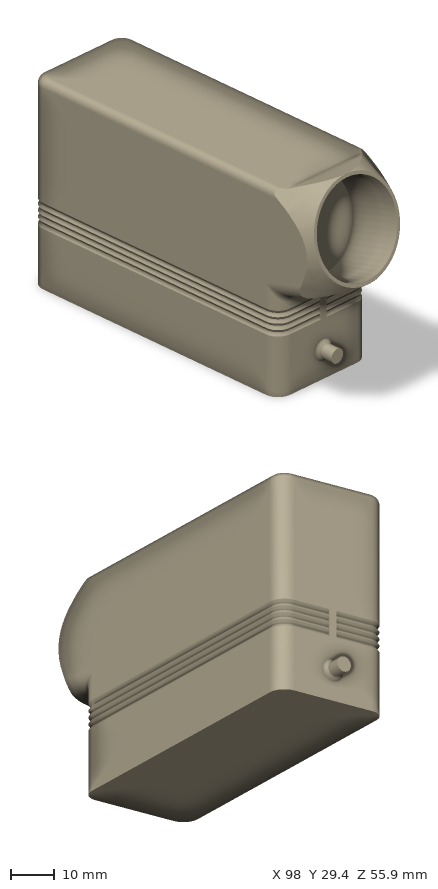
import cadquery as cq
import math

body_length = 79.4
body_width = 29.4
body_height = 54.0
corner_radius = 3.9
top_edge_radius = 2.0

entry_tilt = math.radians(15.0)
entry_reach = 53.9
entry_peak = 55.9
entry_diameter = 27.0
bore_diameter = 25.2
bore_depth = 14.7
inner_corner_radius = 2.0

cone_half_angle = math.radians(33.0)
cone_depth = 11.8

groove_count = 4
groove_pitch = 1.7
groove_depth = 0.6
groove_band_top = 22.3
groove_gap = 2.0

peg_height = 7.5
peg_length = 4.4
peg_diameter = 3.7
peg_flare = 0.9
peg_root_depth = 1.0

cut_margin = 1.0

half_length = body_length / 2
half_width = body_width / 2
entry_radius = entry_diameter / 2

underside_z = entry_peak - entry_diameter * math.cos(entry_tilt)
peak_x = entry_reach - entry_diameter * math.sin(entry_tilt)
inner_corner_z = underside_z - (entry_reach - half_length) * math.tan(entry_tilt)
top_bend_x = peak_x - (entry_peak - body_height) / math.tan(entry_tilt)

entry_plane = cq.Plane(
    origin=((entry_reach + peak_x) / 2, 0, (entry_peak + underside_z) / 2),
    xDir=(0, 1, 0),
    normal=(math.cos(entry_tilt), 0, math.sin(entry_tilt)),
)


def make_shell():
    """Side outline of body and entry, extruded over the width and rounded."""
    outline = [
        (-half_length, 0),
        (half_length, 0),
        (half_length, inner_corner_z),
        (entry_reach, underside_z),
        (peak_x, entry_peak),
        (top_bend_x, body_height),
        (-half_length, body_height),
    ]
    shell = cq.Workplane("XZ").polyline(outline).close().extrude(half_width, both=True)

    rounded_edges = cq.selectors.ParallelDirSelector(cq.Vector(0, 0, 1))
    middle_x = (half_length + entry_reach) / 2
    middle_z = (inner_corner_z + underside_z) / 2
    for side_y in (-half_width, half_width):
        lower_edge = cq.selectors.NearestToPointSelector((middle_x, side_y, middle_z))
        rounded_edges = rounded_edges + lower_edge
    shell = shell.edges(rounded_edges).fillet(corner_radius)

    inner_corner = cq.selectors.NearestToPointSelector((half_length, 0, inner_corner_z))
    shell = shell.edges(inner_corner).fillet(inner_corner_radius)

    sloping_top = cq.Vector(-math.sin(entry_tilt), 0, math.cos(entry_tilt))
    top_edges = shell.faces("+Z").edges("not(>X)")
    sloping_faces = shell.faces(cq.selectors.ParallelDirSelector(sloping_top))
    sloping_edges = sloping_faces.faces(">Z").edges("not(|Y)")
    return top_edges.add(sloping_edges).fillet(top_edge_radius)


def make_entry_waste():
    """Parts of the entry block that lie outside the cone."""
    cone_radius = entry_radius + cone_depth * math.tan(cone_half_angle)
    cone = (
        cq.Workplane(entry_plane)
        .circle(entry_radius)
        .workplane(offset=-cone_depth)
        .circle(cone_radius)
        .loft(ruled=True)
    )
    block = (
        cq.Workplane(entry_plane)
        .rect(body_width + 2 * cut_margin, entry_diameter + 2 * cut_margin)
        .extrude(-cone_depth)
    )
    return block.cut(cone)


def make_bore():
    """Blind bore along the entry axis."""
    return cq.Workplane(entry_plane).circle(bore_diameter / 2).extrude(-bore_depth)


def make_groove_band():
    """Ring of V grooves around the body, with a gap left at each end wall."""
    outline = cq.Sketch().rect(body_length, body_width).vertices().fillet(corner_radius)
    half_pitch = groove_pitch / 2
    taper = math.degrees(math.atan2(groove_depth, half_pitch))
    band_height = groove_count * groove_pitch
    band_bottom = groove_band_top - band_height

    band = (
        cq.Workplane("XY", origin=(0, 0, band_bottom))
        .rect(body_length + 2 * cut_margin, body_width + 2 * cut_margin)
        .extrude(band_height)
    )
    for index in range(groove_count):
        groove_bottom = band_bottom + index * groove_pitch
        base = cq.Workplane("XY", origin=(0, 0, groove_bottom)).placeSketch(outline)
        lower_wall = base.extrude(half_pitch, taper=taper)
        upper_wall = lower_wall.mirror("XY", (0, 0, groove_bottom + half_pitch))
        band = band.cut(lower_wall).cut(upper_wall)

    gap = (
        cq.Workplane("XY", origin=(0, 0, band_bottom))
        .rect(body_length + 2 * cut_margin, groove_gap)
        .extrude(band_height)
    )
    return band.cut(gap)


def make_peg():
    """Peg with a flared root on the +X wall, rooted inside the wall."""
    peg_radius = peg_diameter / 2
    profile = [
        (half_length - peg_root_depth, 0),
        (half_length - peg_root_depth, peg_radius + peg_flare),
        (half_length, peg_radius + peg_flare),
        (half_length + peg_flare, peg_radius),
        (half_length + peg_length, peg_radius),
        (half_length + peg_length, 0),
    ]
    peg = cq.Workplane("XY").polyline(profile).close().revolve(360, (0, 0, 0), (1, 0, 0))
    return peg.translate((0, 0, peg_height))


peg = make_peg()
result = (
    make_shell()
    .cut(make_entry_waste())
    .cut(make_bore())
    .cut(make_groove_band())
    .union(peg)
    .union(peg.mirror("YZ"))
)